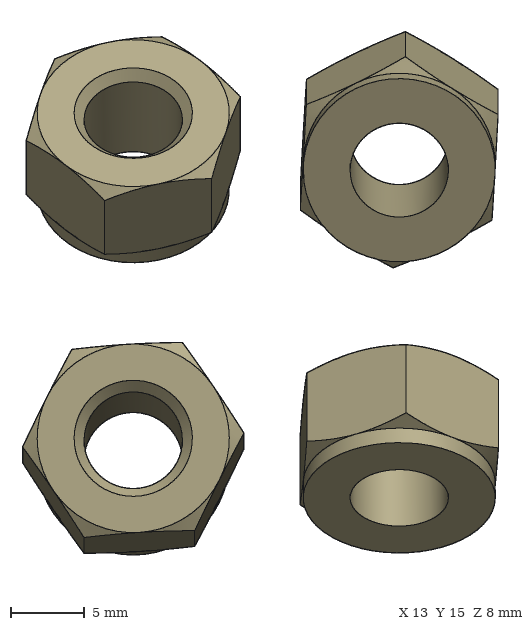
import cadquery as cq
import math

across_corners = 15.01
total_height = 8.0
collar_height = 1.2
bore_diameter = 6.65
countersink_diameter = 8.0
countersink_angle = 45.0
chamfer_angle = 30.0

corner_radius = across_corners / 2
flat_radius = corner_radius * math.cos(math.pi / 6)
bore_radius = bore_diameter / 2
countersink_radius = countersink_diameter / 2
countersink_depth = (countersink_radius - bore_radius) * math.tan(math.radians(countersink_angle))
chamfer_drop = (corner_radius - flat_radius) * math.tan(math.radians(chamfer_angle))


def hex_prism():
    """Hexagonal body with two corners on the Y axis, above the collar."""
    return (
        cq.Workplane("XY", origin=(0, 0, collar_height))
        .polygon(6, across_corners)
        .extrude(total_height - collar_height)
        .rotate((0, 0, 0), (0, 0, 1), 30)
    )


def turned_envelope():
    """Solid of revolution whose cones chamfer both ends of the hexagon."""
    return (
        cq.Workplane("XZ")
        .moveTo(0, collar_height)
        .lineTo(flat_radius, collar_height)
        .lineTo(corner_radius, collar_height + chamfer_drop)
        .lineTo(corner_radius, total_height - chamfer_drop)
        .lineTo(flat_radius, total_height)
        .lineTo(0, total_height)
        .close()
        .revolve(360, (0, 0, 0), (0, 1, 0))
    )


def collar():
    """Round collar under the hexagon, as wide as its flats."""
    return cq.Workplane("XY").circle(flat_radius).extrude(collar_height)


def countersunk_bore():
    """Through bore with a conical countersink at the top."""
    return (
        cq.Workplane("XZ")
        .moveTo(0, 0)
        .lineTo(bore_radius, 0)
        .lineTo(bore_radius, total_height - countersink_depth)
        .lineTo(countersink_radius, total_height)
        .lineTo(0, total_height)
        .close()
        .revolve(360, (0, 0, 0), (0, 1, 0))
    )


nut_body = hex_prism().intersect(turned_envelope())
result = nut_body.union(collar()).cut(countersunk_bore())